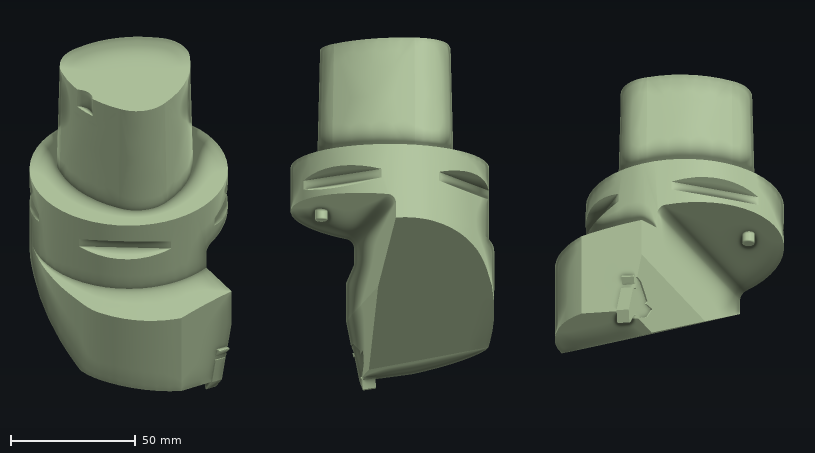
import cadquery as cq
import math

FLANGE_R = 40.0
FLANGE_H = 31.0

SHANK_H = 47.9
LOBE_R = 29.6
FLAT_R = 25.3
JOINT_R = 27.8
LOBE_HALF_ANGLE = 21
TAPER_ANGLE = math.degrees(math.atan(1 / 40))
LOBE_DIRECTIONS = (90, 210, 330)
LOBE_TO_FLANK = 60

NOTCH_R = 6.4
NOTCH_DEPTH = 8.2
NOTCH_AXIS_Y = -28.4

GROOVE_FLOOR_R = 35.4
GROOVE_FLOOR_W = 3.6
GROOVE_Z = -12.1
GROOVE_WALL_ANGLE = 30
GROOVE_DIRECTIONS = (45, 135, 225, 315)

TANGENT_DIRECTION = -119.5
TANGENT_LENGTH = 3.0
RIM_DIRECTION = 210
HEAD_FRONT_Y = -45.2
FRONT_FLAT_END_X = 22.2
NOSE_BLEND_END = (30.3, -43.7)
TIP_SIDE_FRONT = (53.9, -20.8)
TIP_SIDE_BACK_X = 54.5
CONE_ANGLE = 15

REAR_Y = 6.1
REAR_FILLET_R = 3.6
REAR_EDGE_Z = -18.1
REAR_CORNER_Z = -21.1
RAKE_TOP_Z = -51.0
RAKE_TIP = (1.1, -75.6)
FRONT_BOTTOM_Z = -67.2

UNDERSIDE_LEFT_Z = -30.3
UNDERSIDE_END = (34.2, -75.6)

NOZZLE_D = 5.0
NOZZLE_Y = 28.2
NOZZLE_BOTTOM_Z = -23.5
NOZZLE_FILLET_R = 0.8

INSERT_X = 48.7
INSERT_Z = -69.2
INSERT_T = 5.5
INSERT_CORNER_TURNS = (0, 120, 240)
INSERT_INSET = 0.6
EDGE_U = 6.3
NUB_V = 3.7
VALLEY_U = 4.6
TOOTH_U = 7.5
TOOTH_LOW_V = 7.9
TOOTH_HIGH_V = 8.5

RAKE_ANGLE = math.degrees(math.atan2(REAR_Y - RAKE_TIP[0], RAKE_TOP_Z - RAKE_TIP[1]))
MARGIN = 12.8


def polar(radius, degrees):
    angle = math.radians(degrees)
    return (radius * math.cos(angle), radius * math.sin(angle))


def shank():
    """Tapered polygon of three lobe arcs and three flank arcs, with its notch."""
    outline = cq.Workplane("XY").moveTo(*polar(JOINT_R, LOBE_DIRECTIONS[0] - LOBE_HALF_ANGLE))
    for lobe in LOBE_DIRECTIONS:
        flank = lobe + LOBE_TO_FLANK
        next_lobe = flank + LOBE_TO_FLANK
        outline = outline.threePointArc(polar(LOBE_R, lobe), polar(JOINT_R, lobe + LOBE_HALF_ANGLE))
        outline = outline.threePointArc(polar(FLAT_R, flank), polar(JOINT_R, next_lobe - LOBE_HALF_ANGLE))
    body = outline.close().extrude(SHANK_H, taper=TAPER_ANGLE)
    notch = (
        cq.Workplane("XY", origin=(0, NOTCH_AXIS_Y, SHANK_H))
        .circle(NOTCH_R)
        .extrude(-NOTCH_DEPTH)
    )
    return body.cut(notch)


def gripper_groove(direction):
    """Straight groove of trapezoidal section across the flange rim."""
    depth = FLANGE_R + MARGIN - GROOVE_FLOOR_R
    flare = depth * math.tan(math.radians(GROOVE_WALL_ANGLE))
    half_floor = GROOVE_FLOOR_W / 2
    return (
        cq.Workplane("XZ", origin=(0, 0, GROOVE_Z))
        .moveTo(GROOVE_FLOOR_R, -half_floor)
        .lineTo(GROOVE_FLOOR_R + depth, -half_floor - flare)
        .lineTo(GROOVE_FLOOR_R + depth, half_floor + flare)
        .lineTo(GROOVE_FLOOR_R, half_floor)
        .close()
        .extrude(FLANGE_R, both=True)
        .rotate((0, 0, 0), (0, 0, 1), direction)
    )


def flange():
    body = cq.Workplane("XY").circle(FLANGE_R).extrude(-FLANGE_H)
    for direction in GROOVE_DIRECTIONS:
        body = body.cut(gripper_groove(direction))
    return body


def head():
    """Cutting head below the flange, with a conical shoulder around the flange axis."""
    rim_x = -math.sqrt(FLANGE_R**2 - REAR_Y**2)
    leave = polar(FLANGE_R, TANGENT_DIRECTION)
    along = polar(TANGENT_LENGTH, TANGENT_DIRECTION + 90)
    bulge_start = (leave[0] + along[0], leave[1] + along[1])
    bulge_turn = math.radians(TANGENT_DIRECTION + 90)
    bulge_r = (bulge_start[1] - HEAD_FRONT_Y) / (1 - math.cos(bulge_turn))
    bulge_end_x = bulge_start[0] - bulge_r * math.sin(bulge_turn)

    depth = -RAKE_TIP[1] + MARGIN - FLANGE_H
    prism = (
        cq.Workplane("XY", origin=(0, 0, -FLANGE_H))
        .moveTo(rim_x, REAR_Y)
        .threePointArc(polar(FLANGE_R, RIM_DIRECTION), leave)
        .lineTo(*bulge_start)
        .tangentArcPoint((bulge_end_x, HEAD_FRONT_Y), relative=False)
        .lineTo(FRONT_FLAT_END_X, HEAD_FRONT_Y)
        .tangentArcPoint(NOSE_BLEND_END, relative=False)
        .tangentArcPoint(TIP_SIDE_FRONT, relative=False)
        .lineTo(TIP_SIDE_BACK_X, REAR_Y)
        .close()
        .extrude(-depth)
    )
    reach = 2 * FLANGE_R
    drop = (reach - FLANGE_R) * math.tan(math.radians(CONE_ANGLE))
    shoulder = (
        cq.Workplane("XZ")
        .moveTo(0, -FLANGE_H)
        .lineTo(FLANGE_R, -FLANGE_H)
        .lineTo(reach, -FLANGE_H - drop)
        .lineTo(reach, -FLANGE_H - depth)
        .lineTo(0, -FLANGE_H - depth)
        .close()
        .revolve(360, (0, 0, 0), (0, 1, 0))
    )
    return prism.intersect(shoulder)


def side_envelope():
    """Side profile: relieved rear, upright wall, rake face and rising bottom."""
    rear_slope = (REAR_EDGE_Z - REAR_CORNER_Z) / (FLANGE_R - REAR_Y)
    rear_far_y = FLANGE_R + MARGIN
    rear_far_z = REAR_EDGE_Z + rear_slope * MARGIN
    bottom_slope = (FRONT_BOTTOM_Z - RAKE_TIP[1]) / (RAKE_TIP[0] - HEAD_FRONT_Y)
    front_far_y = HEAD_FRONT_Y - MARGIN
    front_far_z = FRONT_BOTTOM_Z + bottom_slope * MARGIN
    return (
        cq.Workplane("YZ")
        .moveTo(front_far_y, 0)
        .lineTo(rear_far_y, 0)
        .lineTo(rear_far_y, rear_far_z)
        .lineTo(REAR_Y, REAR_CORNER_Z)
        .lineTo(REAR_Y, RAKE_TOP_Z)
        .lineTo(*RAKE_TIP)
        .lineTo(front_far_y, front_far_z)
        .close()
        .extrude(2 * FLANGE_R, both=True)
        .edges(cq.selectors.NearestToPointSelector((0, REAR_Y, REAR_CORNER_Z)))
        .fillet(REAR_FILLET_R)
    )


def underside_cut():
    """Wedge below the slope that runs from the flange rim to the flat end of the head."""
    end_x, end_z = UNDERSIDE_END
    slope = (end_z - UNDERSIDE_LEFT_Z) / (end_x + FLANGE_R)
    start_x = -FLANGE_R - MARGIN
    return (
        cq.Workplane("XZ")
        .moveTo(start_x, UNDERSIDE_LEFT_Z - slope * MARGIN)
        .lineTo(end_x + MARGIN, end_z + slope * MARGIN)
        .lineTo(start_x, end_z + slope * MARGIN)
        .close()
        .extrude(2 * FLANGE_R, both=True)
    )


def nozzle():
    return (
        cq.Workplane("XY", origin=(0, NOZZLE_Y, NOZZLE_BOTTOM_Z))
        .circle(NOZZLE_D / 2)
        .extrude(REAR_EDGE_Z - NOZZLE_BOTTOM_Z)
        .faces("<Z")
        .fillet(NOZZLE_FILLET_R)
    )


def insert_outline():
    """Triangular outline with a thread tooth at each corner, on the plane of the insert's face."""
    tilt = math.radians(RAKE_ANGLE)
    rake_y = RAKE_TIP[0] + (INSERT_Z - RAKE_TIP[1]) * math.tan(tilt)
    inward = (0, -math.cos(tilt), math.sin(tilt))
    plane = cq.Plane(
        origin=(INSERT_X, rake_y - INSERT_INSET / math.cos(tilt), INSERT_Z),
        xDir=(1, 0, 0),
        normal=inward,
    )
    corner_u = (TOOTH_HIGH_V * math.sin(math.radians(60)) - EDGE_U) / math.cos(math.radians(60))
    corner = (
        (EDGE_U, NUB_V),
        (VALLEY_U, NUB_V),
        (TOOTH_U, TOOTH_LOW_V),
        (TOOTH_U, TOOTH_HIGH_V),
        (corner_u, TOOTH_HIGH_V),
    )
    points = []
    for turn in INSERT_CORNER_TURNS:
        for u, v in corner:
            direction = math.degrees(math.atan2(v, u)) + turn
            points.append(polar(math.hypot(u, v), direction))
    return cq.Workplane(plane).polyline(points).close()


def insert():
    return insert_outline().extrude(INSERT_T)


def insert_pocket():
    """Seat with the insert's own outline, open to the rake face."""
    return insert().union(insert_outline().extrude(-MARGIN))


def holder():
    body = flange().union(head(), clean=False)
    body = body.intersect(side_envelope(), clean=False)
    body = body.cut(underside_cut(), clean=False)
    body = body.cut(insert_pocket(), clean=False)
    body = body.union(nozzle(), clean=False)
    return body.union(shank(), clean=False).solids()


tool_holder = holder()
threading_insert = insert()
result = cq.Compound.makeCompound([tool_holder.val(), threading_insert.val()])